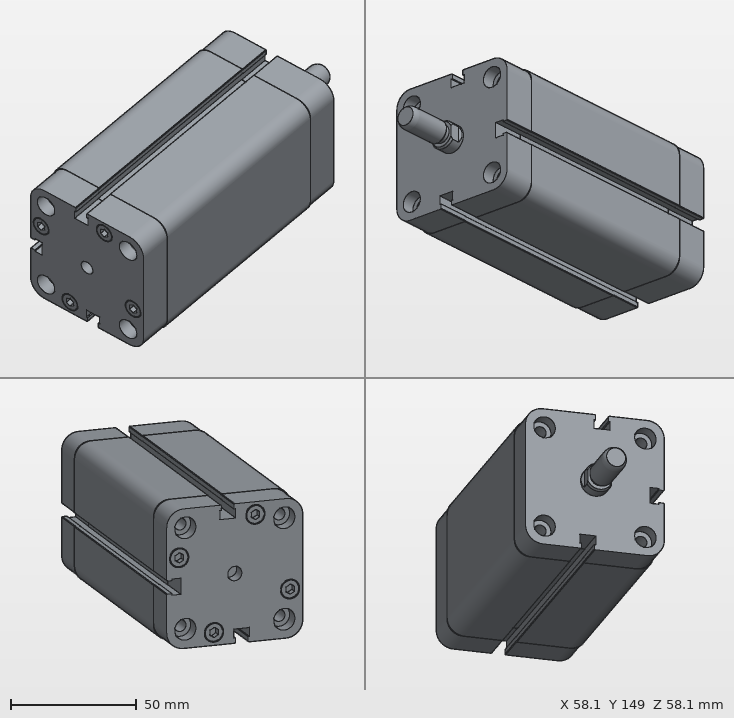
import cadquery as cq

width = 58.1
total_length = 149.0
body_length = 120.5
cap_length = 14.9
cap_corner_radius = 7.2
barrel_corner_radius = 6.7
cap_inset = 0.1

slot_offset = 3.0
slot_mouth_width = 5.4
slot_inner_width = 6.7
slot_lip_depth = 2.2
slot_depth = 6.0
slot_edge_chamfer = 0.3
slot_angles = (0, 90, 180)

mount_hole_offset = 21.0
mount_hole_diameter = 4.9
mount_counterbore_diameter = 9.0
mount_counterbore_depth = 6.0

screw_tangent_offset = 8.8
screw_radial_offset = 23.5
screw_recess_diameter = 8.0
screw_head_diameter = 7.5
screw_gap_depth = 0.7
socket_across_flats = 3.6
socket_depth = 3.0

centre_hole_diameter = 6.0
centre_hole_depth = 6.0

rod_diameter = 12.0
rod_length = 6.4
rod_chamfer_length = 1.0
rod_chamfer_depth = 0.6
rod_across_flats = 10.0
flat_start = 1.8
neck_diameter = 7.9
neck_length = 2.2
thread_diameter = 10.0
thread_root_diameter = 8.5
thread_chamfer_length = 0.5
tip_diameter = 7.9
tip_middle_diameter = 9.5
tip_length = 2.8


def section_plane(y):
    """Plane at position y whose local axes are global X and Z; negative extrusions run toward +Y."""
    return cq.Workplane(cq.Plane(origin=(0, y, 0), xDir=(1, 0, 0), normal=(0, -1, 0)))


def around_axis(shape, angle):
    """Turn a shape about the cylinder axis, from +Z toward -X."""
    return shape.rotate((0, 0, 0), (0, -1, 0), angle)


def sensor_slot(start, length, face_level):
    """Slot cutter in the +Z side, whose face lies at height face_level."""
    mouth_half = slot_mouth_width / 2
    inner_half = slot_inner_width / 2
    edge_half = mouth_half + slot_edge_chamfer
    right_side = [
        (edge_half, 0),
        (mouth_half, -slot_edge_chamfer),
        (mouth_half, -slot_lip_depth),
        (inner_half, -slot_lip_depth),
        (inner_half, -slot_depth),
    ]
    left_side = [(-x, z) for x, z in reversed(right_side)]
    outline = section_plane(start).center(-slot_offset, face_level).polyline(right_side + left_side)
    return outline.close().extrude(-length)


def slotted_block(start, length, size, corner_radius):
    """Rounded square block along Y with a sensor slot in three of its sides."""
    block = section_plane(start).rect(size, size).extrude(-length).edges("|Y").fillet(corner_radius)
    for angle in slot_angles:
        block = block.cut(around_axis(sensor_slot(start, length, size / 2), angle))
    return block


def mount_holes():
    spacing = 2 * mount_hole_offset
    holes = section_plane(0).rect(spacing, spacing, forConstruction=True).vertices()
    holes = holes.circle(mount_hole_diameter / 2).extrude(-body_length)
    for start in (0, body_length - mount_counterbore_depth):
        corners = section_plane(start).rect(spacing, spacing, forConstruction=True).vertices()
        holes = holes.union(corners.circle(mount_counterbore_diameter / 2).extrude(-mount_counterbore_depth))
    return holes


def screw_centres():
    """Four screw axes, each a quarter turn from the last."""
    tangent, radial = screw_tangent_offset, screw_radial_offset
    return [(tangent, radial), (-radial, tangent), (-tangent, -radial), (radial, -tangent)]


def screw_gaps():
    """Thin ring between each screw head and its counterbore."""
    rings = section_plane(0).pushPoints(screw_centres())
    return rings.circle(screw_recess_diameter / 2).circle(screw_head_diameter / 2).extrude(-screw_gap_depth)


def screw_sockets():
    """Hexagon sockets in the screw heads."""
    sockets = section_plane(0).pushPoints(screw_centres())
    return sockets.polygon(6, socket_across_flats, circumscribed=True).extrude(-socket_depth)


def piston_rod():
    rod_end = body_length + rod_length
    neck_end = rod_end + neck_length
    tip_start = total_length - tip_length
    shank = [
        (0, body_length),
        (rod_diameter / 2, body_length),
        (rod_diameter / 2, rod_end - rod_chamfer_length),
        (rod_diameter / 2 - rod_chamfer_depth, rod_end),
        (neck_diameter / 2, rod_end),
        (neck_diameter / 2, neck_end),
        (thread_root_diameter / 2, neck_end),
        (thread_diameter / 2, neck_end + thread_chamfer_length),
        (thread_diameter / 2, tip_start),
    ]
    tip_middle = (tip_middle_diameter / 2, tip_start + tip_length / 2)
    outline = (
        cq.Workplane("XY")
        .polyline(shank)
        .threePointArc(tip_middle, (tip_diameter / 2, total_length))
        .lineTo(0, total_length)
        .close()
    )
    return outline.revolve(360, (0, 0), (0, 1))


def wrench_flat():
    """Cut for the flat on the +X side, running out at 45 degrees toward the body."""
    inner = rod_across_flats / 2
    outer = rod_diameter / 2
    start = body_length + flat_start
    end = body_length + rod_length
    profile = [(inner, start), (outer, start - (outer - inner)), (outer, end), (inner, end)]
    return cq.Workplane("XY").polyline(profile).close().extrude(rod_diameter / 2, both=True)


barrel_length = body_length - 2 * cap_length
cap_width = width - 2 * cap_inset
body = slotted_block(cap_length, barrel_length, width, barrel_corner_radius)
for cap_start in (0, body_length - cap_length):
    body = body.union(slotted_block(cap_start, cap_length, cap_width, cap_corner_radius))

body = body.cut(mount_holes())
body = body.cut(section_plane(0).circle(centre_hole_diameter / 2).extrude(-centre_hole_depth))

body = body.cut(screw_gaps()).cut(screw_sockets())

rod = piston_rod()
for angle in (0, 180):
    rod = rod.cut(around_axis(wrench_flat(), angle))

result = body.union(rod)